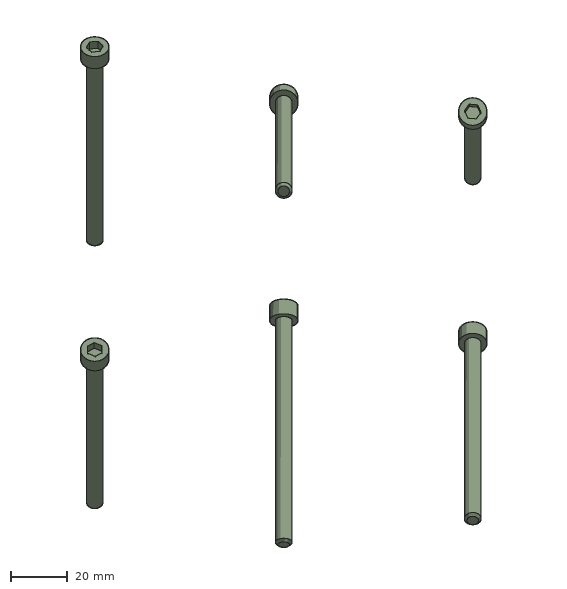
import cadquery as cq
import math

total_length = 96.0
head_diameter = 10.0
head_height = 6.0
shank_diameter = 6.0
tip_chamfer = 1.0
socket_across_flats = 5.1
socket_depth = 3.5

shank_length = total_length - head_height
socket_across_corners = socket_across_flats / math.cos(math.pi / 6)

shank = (
    cq.Workplane("XY")
    .circle(shank_diameter / 2)
    .extrude(shank_length)
    .faces("<Z")
    .chamfer(tip_chamfer)
)

head = (
    cq.Workplane("XY", origin=(0, 0, shank_length))
    .circle(head_diameter / 2)
    .extrude(head_height)
)

socket = (
    cq.Workplane("XY", origin=(0, 0, total_length))
    .polygon(6, socket_across_corners)
    .extrude(-socket_depth)
)

result = shank.union(head).cut(socket)